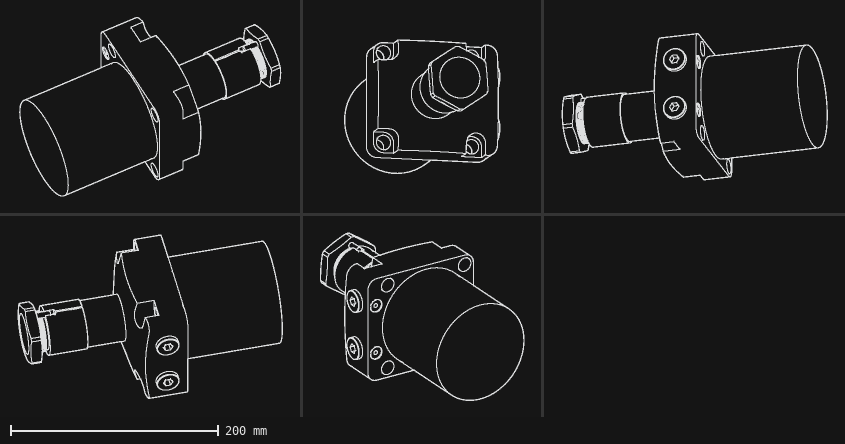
import cadquery as cq
import math


PLUG_DIAMETER = 22
PLUG_HEIGHT = 4.5
PLUG_SOCKET_FLATS = 8.0
PLUG_SOCKET_DEPTH = 7.3
PLUG_CHAMFER = 0.5
PLUG_SHANK_DIAMETER = 13.2
PLUG_SHANK_LENGTH = 5.9

BARREL_RADIUS = 50.0
BARREL_LENGTH = 97.4
FLANGE_HEIGHT = 108.0
FLANGE_HALF = FLANGE_HEIGHT / 2
OVERALL_WIDTH = 125.0
PORT_SIDE_REACH = OVERALL_WIDTH - FLANGE_HALF - PLUG_HEIGHT
FLANGE_DEPTH = 51.2
CORNER_RADIUS = 10.0
CROWN_RADIUS = 32.0
CROWN_ANGLE = 15

BOLT_OFFSET = 44
BOLT_HOLE_DIAMETER = 14.2
SEAT_RADIUS = 10.0
SEAT_Y = 25.9

PORT_SPACING = 50.0
PORT_Z = PORT_SPACING / 2
PORT_Y = 20.5
PORT_DIAMETER = 3.7
PORT_DEPTH = 12.2
DRILL_TIP_ANGLE = 118
SEAL_X = -56.9
SEAL_DIAMETER = 13.0
SEAL_DEPTH = 1.2
SEAL_HOLE_DIAMETER = 4.0

ROD_RADIUS = 23.0
NECK_RADIUS = 18.8
THREAD_RADIUS = 20.0
THREAD_PITCH = 1.5
THREAD_TURNS = 4
SLEEVE_BOTTOM_Y = 89.0
SLEEVE_TOP_Y = 126.5
SLEEVE_RADIUS = 24.5
SLIT_WIDTH = 1.5

NUT_BOTTOM_Y = 134.7
NUT_TOP_Y = 146.6
NUT_FLATS = 55.0
NUT_CORNER_RADIUS = 30.7
NUT_FACE_RADIUS = 26.4
NUT_CHAMFER = 1.2
NUT_TURN = 4.5

PIN_RADIUS = 3.0
PIN_Z = 22.7
PIN_END_Y = 121.0
GROOVE_RADIUS = 3.5
SLEEVE_GROOVE_END_Y = 114.7
ROD_GROOVE_END_Y = 107.0


def along_y(points):
    """Turn a closed (radius, y) outline about the Y axis."""
    return cq.Workplane("ZY").polyline(points).close().revolve(360, (0, 0, 0), (0, 1, 0))


def rod_y(radius, start, end, x=0, z=0):
    """Cylinder parallel to Y, from y = start up to y = end."""
    plane = cq.Plane(origin=(x, start, z), xDir=(0, 0, 1), normal=(0, 1, 0))
    return cq.Workplane(plane).circle(radius).extrude(end - start)


def block(x_range, y_range, z_range):
    """Box between the given limits."""
    spans = [high - low for low, high in (x_range, y_range, z_range)]
    corner = cq.Vector(x_range[0], y_range[0], z_range[0])
    return cq.Workplane(cq.Solid.makeBox(*spans, corner))


def drilled(radius, depth, start, direction):
    """Drill tool with a conical tip; depth includes the tip."""
    tip = radius / math.tan(math.radians(DRILL_TIP_ANGLE / 2))
    straight = depth - tip
    shank = cq.Solid.makeCylinder(radius, straight, start, direction)
    point = cq.Solid.makeCone(radius, 0, tip, start + direction * straight, direction)
    return cq.Workplane(shank.fuse(point))


def bolt_seat(side, level):
    """Bolt head seat at X side and Z level (+1 or -1), open to the near flange sides."""
    x = side * BOLT_OFFSET
    z = level * BOLT_OFFSET
    edge = level * FLANGE_HEIGHT
    seat_height = (SEAT_Y, FLANGE_DEPTH)
    seat = rod_y(SEAT_RADIUS, *seat_height, x, z)
    seat = seat.union(block((x - SEAT_RADIUS, x + SEAT_RADIUS), seat_height, sorted((z, edge))))
    if side > 0:
        outer = FLANGE_HEIGHT
        inner_z = z - level * SEAT_RADIUS
        seat = seat.union(block((x, outer), seat_height, sorted((inner_z, edge))))
    return seat


def make_flange():
    """Rounded plate with a conical crown on its rod side."""
    flange = block(
        (-PORT_SIDE_REACH, FLANGE_HALF), (0, FLANGE_DEPTH), (-FLANGE_HALF, FLANGE_HALF)
    )
    flange = flange.edges("|Y").fillet(CORNER_RADIUS)
    reach = 2 * PORT_SIDE_REACH
    crown_base_y = FLANGE_DEPTH - (reach - CROWN_RADIUS) * math.tan(math.radians(CROWN_ANGLE))
    crown = along_y(
        [(0, 0), (reach, 0), (reach, crown_base_y), (CROWN_RADIUS, FLANGE_DEPTH), (0, FLANGE_DEPTH)]
    )
    return flange.intersect(crown)


def plug_shank(level):
    """Part of a port plug inside the flange, also the tool for its hole."""
    face = cq.Workplane("YZ", origin=(-PORT_SIDE_REACH, PORT_Y, level * PORT_Z))
    return face.circle(PLUG_SHANK_DIAMETER / 2).extrude(PLUG_SHANK_LENGTH)


def make_housing():
    """Flange and barrel with bolt holes, ports and seal recesses."""
    housing = make_flange().union(rod_y(BARREL_RADIUS, -BARREL_LENGTH, 0))
    for side in (-1, 1):
        for level in (-1, 1):
            x = side * BOLT_OFFSET
            z = level * BOLT_OFFSET
            housing = housing.cut(rod_y(BOLT_HOLE_DIAMETER / 2, 0, FLANGE_DEPTH, x, z))
            housing = housing.cut(bolt_seat(side, level))
    for level in (-1, 1):
        z = level * PORT_Z
        port_start = cq.Vector(-PORT_SIDE_REACH, PORT_Y, z)
        housing = housing.cut(drilled(PORT_DIAMETER / 2, PORT_DEPTH, port_start, cq.Vector(1, 0, 0)))
        housing = housing.cut(plug_shank(level))
        housing = housing.cut(rod_y(SEAL_DIAMETER / 2, 0, SEAL_DEPTH, SEAL_X, z))
        housing = housing.cut(rod_y(SEAL_HOLE_DIAMETER / 2, 0, PORT_Y, SEAL_X, z))
    return housing


def make_port_plug(level):
    """Round plug head on the flange, with a shank in the port and a hexagon socket."""
    outer_x = -PORT_SIDE_REACH - PLUG_HEIGHT
    face = cq.Workplane("YZ", origin=(outer_x, PORT_Y, level * PORT_Z))
    head = face.circle(PLUG_DIAMETER / 2).extrude(PLUG_HEIGHT).faces("<X").chamfer(PLUG_CHAMFER)
    corners = PLUG_SOCKET_FLATS / math.cos(math.pi / 6)
    return head.union(plug_shank(level)).cut(face.polygon(6, corners).extrude(PLUG_SOCKET_DEPTH))


def pin_groove(end_y):
    """Groove for the pin, drilled from the nut side down to y = end_y."""
    start = cq.Vector(0, NUT_BOTTOM_Y, PIN_Z)
    return drilled(GROOVE_RADIUS, NUT_BOTTOM_Y - end_y, start, cq.Vector(0, -1, 0))


def make_rod():
    """Rod with a tapered seat for the sleeve and a ringed thread up to the nut."""
    thread_bottom_y = NUT_BOTTOM_Y - THREAD_TURNS * THREAD_PITCH
    outline = [
        (0, FLANGE_DEPTH),
        (ROD_RADIUS, FLANGE_DEPTH),
        (ROD_RADIUS, SLEEVE_BOTTOM_Y),
        (NECK_RADIUS, SLEEVE_TOP_Y),
        (NECK_RADIUS, thread_bottom_y),
    ]
    for turn in range(THREAD_TURNS):
        root_y = thread_bottom_y + turn * THREAD_PITCH
        outline.append((THREAD_RADIUS, root_y + THREAD_PITCH / 2))
        outline.append((NECK_RADIUS, root_y + THREAD_PITCH))
    outline += [(THREAD_RADIUS, NUT_BOTTOM_Y), (THREAD_RADIUS, NUT_TOP_Y), (0, NUT_TOP_Y)]
    return along_y(outline).cut(pin_groove(ROD_GROOVE_END_Y))


def make_sleeve():
    """Slit sleeve with a tapered bore that fits the rod."""
    sleeve = along_y(
        [
            (ROD_RADIUS, SLEEVE_BOTTOM_Y),
            (SLEEVE_RADIUS, SLEEVE_BOTTOM_Y),
            (SLEEVE_RADIUS, SLEEVE_TOP_Y),
            (NECK_RADIUS, SLEEVE_TOP_Y),
        ]
    )
    slit = block(
        (-SLIT_WIDTH / 2, SLIT_WIDTH / 2), (SLEEVE_BOTTOM_Y, SLEEVE_TOP_Y), (0, SLEEVE_RADIUS)
    )
    return sleeve.cut(slit).cut(pin_groove(SLEEVE_GROOVE_END_Y))


def make_nut():
    """Hexagon nut with trimmed corners and a conical chamfer on both faces."""
    plane = cq.Plane(origin=(0, NUT_BOTTOM_Y, 0), xDir=(0, 0, 1), normal=(0, 1, 0))
    hexagon = (
        cq.Workplane(plane)
        .transformed(rotate=(0, 0, NUT_TURN))
        .polygon(6, NUT_FLATS / math.cos(math.pi / 6))
        .extrude(NUT_TOP_Y - NUT_BOTTOM_Y)
    )
    envelope = along_y(
        [
            (THREAD_RADIUS, NUT_BOTTOM_Y),
            (NUT_FACE_RADIUS, NUT_BOTTOM_Y),
            (NUT_CORNER_RADIUS, NUT_BOTTOM_Y + NUT_CHAMFER),
            (NUT_CORNER_RADIUS, NUT_TOP_Y - NUT_CHAMFER),
            (NUT_FACE_RADIUS, NUT_TOP_Y),
            (THREAD_RADIUS, NUT_TOP_Y),
        ]
    )
    return hexagon.intersect(envelope)


housing = make_housing()
port_plugs = [make_port_plug(level) for level in (-1, 1)]
rod = make_rod()
sleeve = make_sleeve()
nut = make_nut()
pin = rod_y(PIN_RADIUS, PIN_END_Y, NUT_BOTTOM_Y, z=PIN_Z)

result = cq.Compound.makeCompound(
    [
        housing.val(),
        *[plug.val() for plug in port_plugs],
        rod.val(),
        sleeve.val(),
        nut.val(),
        pin.val(),
    ]
)